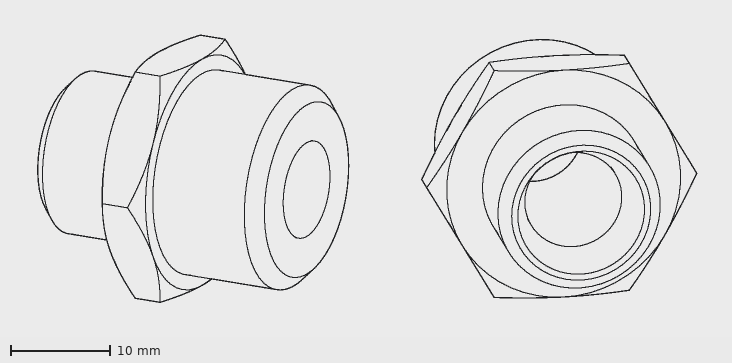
import cadquery as cq
import math

hex_width = 5.0
across_flats = 24.0
hex_chamfer_angle = 30.0

small_diameter = 16.66
small_length = 10.0
small_chamfer = 1.2

large_diameter = 20.95
large_length = 12.0
large_chamfer = 1.5

bore_diameter = 9.95
countersink_diameter = 13.0
countersink_depth = 4.5

hex_start = -hex_width / 2
hex_end = hex_width / 2
small_end = hex_start - small_length
large_end = hex_end + large_length
across_corners = across_flats / math.cos(math.radians(30))


def revolve_about_x(profile):
    """Turn a closed (x, radius) profile into a solid of revolution about X."""
    outline = cq.Workplane("XY").polyline(profile).close()
    return outline.revolve(360, (0, 0, 0), (1, 0, 0))


def make_hexagon():
    """Hexagon with corners on +/-Y, its corners turned off conically on both sides."""
    prism = (
        cq.Workplane("YZ")
        .workplane(offset=hex_start)
        .polygon(6, across_corners)
        .extrude(hex_width)
    )
    flat_radius = across_flats / 2
    corner_radius = across_corners / 2
    chamfer_length = (corner_radius - flat_radius) * math.tan(math.radians(hex_chamfer_angle))
    turning = revolve_about_x([
        (hex_start, 0),
        (hex_start, flat_radius),
        (hex_start + chamfer_length, corner_radius),
        (hex_end - chamfer_length, corner_radius),
        (hex_end, flat_radius),
        (hex_end, 0),
    ])
    return prism.intersect(turning)


def make_spigot(root, end, diameter, chamfer):
    """Round spigot from the hexagon face at root to a tip at end with a 45 degree chamfer."""
    radius = diameter / 2
    outward = math.copysign(1, end - root)
    return revolve_about_x([
        (root, 0),
        (root, radius),
        (end - outward * chamfer, radius),
        (end, radius - chamfer),
        (end, 0),
    ])


def make_bore():
    """Through bore with a conical countersink at the small end."""
    bore_radius = bore_diameter / 2
    mouth_radius = countersink_diameter / 2
    return revolve_about_x([
        (small_end, 0),
        (small_end, mouth_radius),
        (small_end + countersink_depth, bore_radius),
        (large_end, bore_radius),
        (large_end, 0),
    ])


small_spigot = make_spigot(hex_start, small_end, small_diameter, small_chamfer)
large_spigot = make_spigot(hex_end, large_end, large_diameter, large_chamfer)
result = make_hexagon().union(small_spigot).union(large_spigot).cut(make_bore())